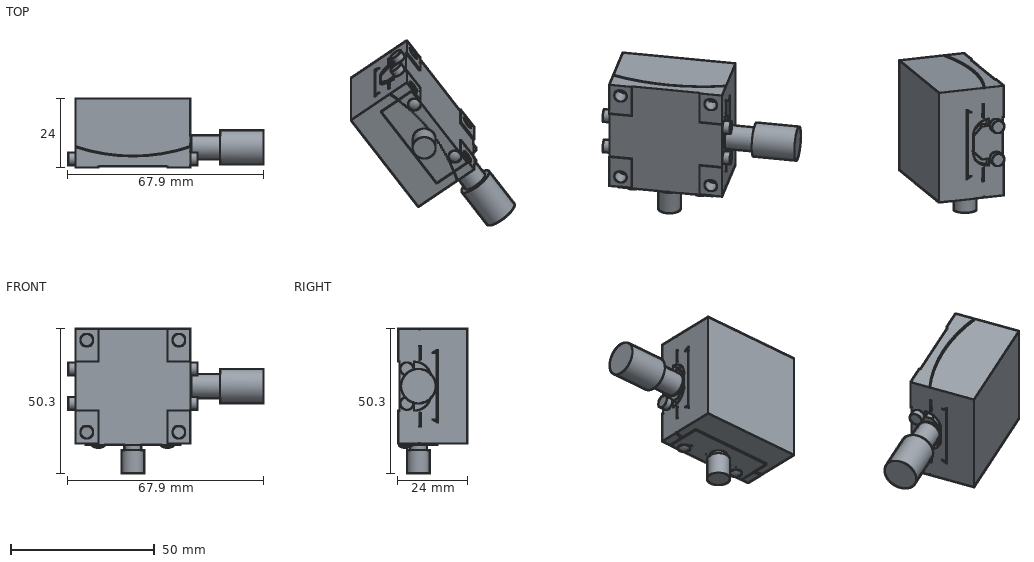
import cadquery as cq
import math

width = 40.0
height = 40.0
depth = 24.0
half_width = width / 2
half_height = height / 2

pad_width = 8.0
pad_height = 11.5
pad_rise = 0.4
half_waist = half_height - pad_height

hole_diameter = 4.4
hole_offset = 16.0
hole_reach = depth / 2

seat_radius = 62.5
seat_low_y = 4.1
axis_y = seat_low_y + seat_radius
seam_chamfer = 0.25

flank_angle = math.radians(60)
dovetail_root_y = 13.8
dovetail_root_half = 12.6
dovetail_gap = 0.4
dovetail_crest_half = 11.6
slot_depth = 0.55
slot_outer_z = 14.0

pocket_depth = 2.5
pocket_back_y = 11.5
pocket_corner_radius = 6.0
tongue_back_y = 11.15
tongue_back_half = 3.0
tongue_half = 6.0
tongue_shoulder_y = 5.55

head_diameter = 4.5
head_length = 2.5
head_y = 3.0
head_z = 6.0

drive_y = 7.0
collar_diameter = 8.3
collar_end_x = 20.4
sleeve_diameter = 8.5
sleeve_end_x = 30.3
thimble_diameter = 12.0
thimble_end_x = 45.4

plate_width = 33.0
plate_front_y = pad_rise
plate_back_y = 13.6
plate_thickness = 0.4
dome_radius = 2.2
rim_height = 0.3
dome_height = 0.75
dome_x = 12.0
dome_y = 2.5

stem_diameter = 6.0
knob_diameter = 8.0
knob_top_z = -22.2
knob_bottom_z = -30.3


def block_between(x_range, y_range, z_range):
    size = [high - low for low, high in (x_range, y_range, z_range)]
    return cq.Workplane("XY").box(*size, centered=False).translate((x_range[0], y_range[0], z_range[0]))


def rod_x(start, end, diameter, y, z):
    return cq.Workplane("YZ", origin=(start, y, z)).circle(diameter / 2).extrude(end - start)


def rod_z(start, end, diameter, x, y):
    return cq.Workplane("XY", origin=(x, y, start)).circle(diameter / 2).extrude(end - start)


def side_radius(y):
    """Distance from the swing axis to a point at this y on a side face."""
    return math.hypot(half_width, axis_y - y)


def swing_ring(profile):
    """Turn a closed (radius, z) outline about the swing axis, which is parallel to Z."""
    return cq.Workplane("XZ").polyline(profile).close().revolve(360, (0, 0), (0, 1)).translate((0, axis_y, 0))


def mirror_across_xy(shape):
    return shape.mirror("XY")


def make_block():
    block = block_between((-half_width, half_width), (0, depth), (-half_height, half_height))
    waist_x = half_width - pad_width
    upright = block_between((-waist_x, waist_x), (0, pad_rise), (-half_height, half_height))
    crossbar = block_between((-half_width, half_width), (0, pad_rise), (-half_waist, half_waist))
    return block.cut(upright).cut(crossbar)


def cut_mounting_holes(body):
    """Each hole runs through the base and stops on the curved seat."""
    stage = cq.Workplane("XY", origin=(0, axis_y, -half_height)).circle(seat_radius).extrude(height)
    pattern = (
        cq.Workplane("XZ")
        .rect(2 * hole_offset, 2 * hole_offset, forConstruction=True)
        .vertices()
        .circle(hole_diameter / 2)
        .extrude(-hole_reach)
    )
    return body.cut(pattern.cut(stage))


def cut_seam(body):
    """A chamfered line along the curved seat on the upper and lower faces."""
    groove = swing_ring([
        (seat_radius, half_height),
        (seat_radius + seam_chamfer, half_height),
        (seat_radius, half_height - seam_chamfer),
    ])
    return body.cut(groove).cut(mirror_across_xy(groove))


def cut_dovetail_gaps(body):
    root = side_radius(dovetail_root_y)
    crest = root + dovetail_gap

    def flank_radius(z):
        return root + (dovetail_root_half - z) * math.tan(flank_angle)

    def flank_z(radius):
        return dovetail_root_half - (radius - root) / math.tan(flank_angle)

    crest_gap = swing_ring([
        (root, -dovetail_root_half),
        (root, dovetail_root_half),
        (flank_radius(dovetail_crest_half), dovetail_crest_half),
        (crest, dovetail_crest_half),
        (crest, -dovetail_crest_half),
        (flank_radius(dovetail_crest_half), -dovetail_crest_half),
    ])
    slot_top = seat_radius - slot_depth
    seat_slot = swing_ring([
        (slot_top, flank_z(slot_top)),
        (slot_top, slot_outer_z),
        (seat_radius, slot_outer_z),
        (seat_radius, flank_z(seat_radius)),
    ])
    return body.cut(crest_gap).cut(seat_slot).cut(mirror_across_xy(seat_slot))


def make_side_pocket():
    """Pocket in the -X face, leaving the shouldered base tongue standing."""
    side = cq.Workplane("YZ", origin=(-half_width, 0, 0))
    recess = (
        side.moveTo(pocket_back_y / 2, 0)
        .rect(pocket_back_y, 2 * half_waist)
        .extrude(pocket_depth)
        .edges("|X and >Y")
        .fillet(pocket_corner_radius)
    )
    shoulder_slope_y = tongue_back_y - (tongue_half - tongue_back_half)
    tongue = (
        side.polyline([
            (0, -half_waist),
            (tongue_shoulder_y, -half_waist),
            (tongue_shoulder_y, -tongue_half),
            (shoulder_slope_y, -tongue_half),
            (tongue_back_y, -tongue_back_half),
            (tongue_back_y, tongue_back_half),
            (shoulder_slope_y, tongue_half),
            (tongue_shoulder_y, tongue_half),
            (tongue_shoulder_y, half_waist),
            (0, half_waist),
        ])
        .close()
        .extrude(pocket_depth)
    )
    return recess.cut(tongue)


def add_clamp_screws(body):
    reach = half_width + head_length
    for z in (-head_z, head_z):
        body = body.union(rod_x(-reach, -half_width, head_diameter, head_y, z))
        body = body.union(rod_x(half_width, reach, head_diameter, head_y, z))
    return body


def add_micrometer(body):
    start = half_width - pocket_depth
    body = body.union(rod_x(start, collar_end_x, collar_diameter, drive_y, 0))
    body = body.union(rod_x(collar_end_x, sleeve_end_x, sleeve_diameter, drive_y, 0))
    return body.union(rod_x(sleeve_end_x, thimble_end_x, thimble_diameter, drive_y, 0))


def make_dome(x):
    """A screw head with a short straight rim and a spherical cap, pointing down."""
    sphere_radius = (dome_radius**2 + dome_height**2) / (2 * dome_height)
    mid_angle = math.asin(dome_radius / sphere_radius) / 2
    tip = rim_height + dome_height
    mid_drop = sphere_radius * (1 - math.cos(mid_angle))
    return (
        cq.Workplane("XZ")
        .lineTo(dome_radius, 0)
        .lineTo(dome_radius, -rim_height)
        .threePointArc((sphere_radius * math.sin(mid_angle), mid_drop - tip), (0, -tip))
        .close()
        .revolve(360, (0, 0), (0, 1))
        .translate((x, dome_y, -half_height - plate_thickness))
    )


def add_cover_plate(body):
    plate_z = (-half_height - plate_thickness, -half_height)
    plate = block_between((-plate_width / 2, plate_width / 2), (plate_front_y, plate_back_y), plate_z)
    body = body.union(plate)
    for x in (-dome_x, dome_x):
        body = body.union(make_dome(x))
    return body


def add_clamp_knob(body):
    body = body.union(rod_z(knob_top_z, -half_height, stem_diameter, 0, drive_y))
    return body.union(rod_z(knob_bottom_z, knob_top_z, knob_diameter, 0, drive_y))


body = make_block()
body = cut_mounting_holes(body)
body = cut_seam(body)
body = cut_dovetail_gaps(body)
side_pocket = make_side_pocket()
body = body.cut(side_pocket).cut(side_pocket.mirror("YZ"))
body = add_clamp_screws(body)
body = add_micrometer(body)
body = add_cover_plate(body)
result = add_clamp_knob(body)